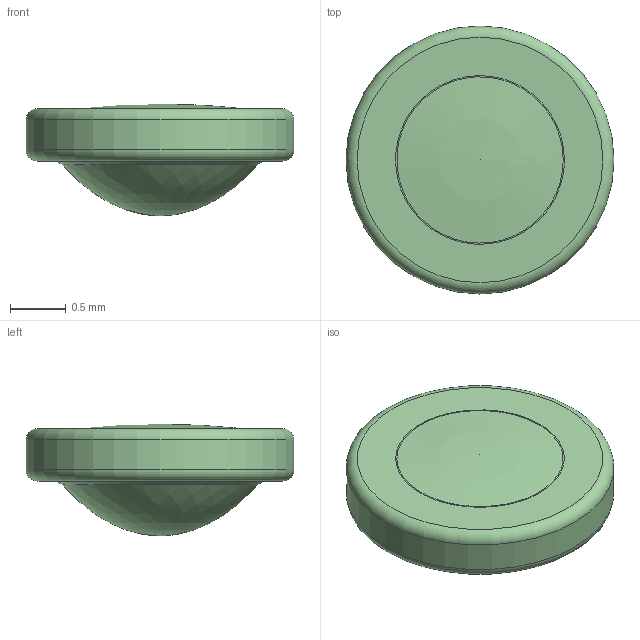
import cadquery as cq
import math

FLANGE_DIAMETER = 2.4
FLANGE_THICKNESS = 0.47
RIM_ROUND = 0.1

UPPER_LENS_DIAMETER = 1.5
UPPER_LENS_HEIGHT = 0.04
UPPER_BLEND = 0.1

OVERALL_HEIGHT = 1.0
LOWER_LENS_DEPTH = OVERALL_HEIGHT - FLANGE_THICKNESS - UPPER_LENS_HEIGHT
APEX_RADIUS = 0.9
CONIC_SHAPE = 0.26
LOWER_BLEND = 0.1
CURVE_SEGMENTS = 8

FLANGE_TOP = FLANGE_THICKNESS
UPPER_APEX = FLANGE_TOP + UPPER_LENS_HEIGHT
LOWER_APEX = -LOWER_LENS_DEPTH

FLANGE_RADIUS = FLANGE_DIAMETER / 2
UPPER_LENS_RADIUS = UPPER_LENS_DIAMETER / 2
LOWER_LENS_RADIUS = math.sqrt(2 * APEX_RADIUS * LOWER_LENS_DEPTH - CONIC_SHAPE * LOWER_LENS_DEPTH**2)


def conic_sag(radius):
    """Height of the lower lens surface above its apex at a given radius."""
    root = math.sqrt(APEX_RADIUS**2 - CONIC_SHAPE * radius**2)
    return radius**2 / (APEX_RADIUS + root)


def conic_slope(radius):
    """Slope of the lower lens surface at a given radius."""
    return radius / math.sqrt(APEX_RADIUS**2 - CONIC_SHAPE * radius**2)


def upper_arc_midpoint():
    """Point halfway along the upper lens arc, between its rim and its apex."""
    sphere_radius = (UPPER_LENS_RADIUS**2 + UPPER_LENS_HEIGHT**2) / (2 * UPPER_LENS_HEIGHT)
    half_angle = math.asin(UPPER_LENS_RADIUS / sphere_radius) / 2
    drop = sphere_radius * (1 - math.cos(half_angle))
    return sphere_radius * math.sin(half_angle), UPPER_APEX - drop


def revolved_lens_blank():
    """Flange and both lenses as one turned body with sharp edges."""
    radii = [LOWER_LENS_RADIUS * i / CURVE_SEGMENTS for i in range(CURVE_SEGMENTS + 1)]
    conic_points = [(r, LOWER_APEX + conic_sag(r)) for r in radii]
    end_tangents = [(1, 0), (1, conic_slope(LOWER_LENS_RADIUS))]
    return (
        cq.Workplane("XZ")
        .moveTo(*conic_points[0])
        .spline(conic_points[1:], tangents=end_tangents, includeCurrent=True)
        .lineTo(FLANGE_RADIUS, 0)
        .lineTo(FLANGE_RADIUS, FLANGE_TOP)
        .lineTo(UPPER_LENS_RADIUS, FLANGE_TOP)
        .threePointArc(upper_arc_midpoint(), (0, UPPER_APEX))
        .close()
        .revolve(360, (0, 0, 0), (0, 1, 0))
    )


def blend_foot(body, lens_radius, z, blend_radius):
    """Round the edge where a lens meets the flange face at height z."""
    tolerance = 0.001
    reach = lens_radius + tolerance
    foot_box = cq.selectors.BoxSelector(
        (-reach, -reach, z - tolerance),
        (reach, reach, z + tolerance),
        boundingbox=True,
    )
    return body.edges(foot_box).edges("%CIRCLE").fillet(blend_radius)


def round_rim(body):
    """Round both outer edges of the flange."""
    return body.faces("%CYLINDER").edges("%CIRCLE").fillet(RIM_ROUND)


lens = revolved_lens_blank()
lens = blend_foot(lens, LOWER_LENS_RADIUS, 0, LOWER_BLEND)
lens = blend_foot(lens, UPPER_LENS_RADIUS, FLANGE_TOP, UPPER_BLEND)
result = round_rim(lens)